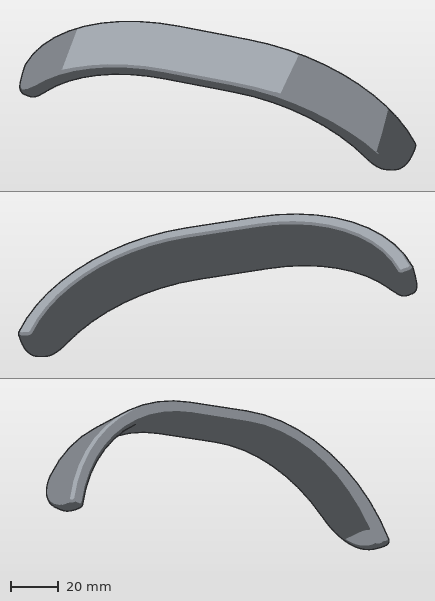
import cadquery as cq
import math

band_width = 25.1
thickness = 6.6
flat_length = 30.2
outer_radius = 73.4
left_sweep = 72
right_sweep = 75
end_corner_radius = 22.8
edge_fillet = 2.0
tilt = 10

half_flat = flat_length / 2
inner_radius = outer_radius - thickness
mid_radius = outer_radius - thickness / 2


def arc_point(side, radius, angle):
    """Point (x, z) on the arc of one side (-1 or +1), angle measured from the flat."""
    turn = math.radians(angle)
    x = side * (half_flat + radius * math.sin(turn))
    z = radius * math.cos(turn) - outer_radius
    return (x, z)


def make_band():
    """Flat strip with an arc at each end, extruded along Y and centred on it."""
    profile = (
        cq.Workplane("XZ")
        .moveTo(*arc_point(-1, outer_radius, left_sweep))
        .threePointArc(arc_point(-1, outer_radius, left_sweep / 2), arc_point(-1, outer_radius, 0))
        .lineTo(*arc_point(1, outer_radius, 0))
        .threePointArc(arc_point(1, outer_radius, right_sweep / 2), arc_point(1, outer_radius, right_sweep))
        .lineTo(*arc_point(1, inner_radius, right_sweep))
        .threePointArc(arc_point(1, inner_radius, right_sweep / 2), arc_point(1, inner_radius, 0))
        .lineTo(*arc_point(-1, inner_radius, 0))
        .threePointArc(arc_point(-1, inner_radius, left_sweep / 2), arc_point(-1, inner_radius, left_sweep))
        .close()
    )
    return profile.extrude(band_width / 2, both=True)


def round_end_corner(band, side, sweep):
    """Round the front corner of one end with a large radius."""
    x, z = arc_point(side, mid_radius, sweep)
    corner = (x, -band_width / 2, z)
    return band.edges(cq.NearestToPointSelector(corner)).fillet(end_corner_radius)


def round_rims(band):
    """Round the front edges, which run on around the ends, and then the long back edges."""
    rounded_front = band.faces("<Y").edges().fillet(edge_fillet)
    long_back_edges = rounded_front.faces(">Y").edges("%CIRCLE or |X")
    return long_back_edges.fillet(edge_fillet)


band = make_band()
band = round_end_corner(band, -1, left_sweep)
band = round_end_corner(band, 1, right_sweep)
band = round_rims(band)
result = band.rotate((0, 0, 0), (1, 0, 0), tilt)